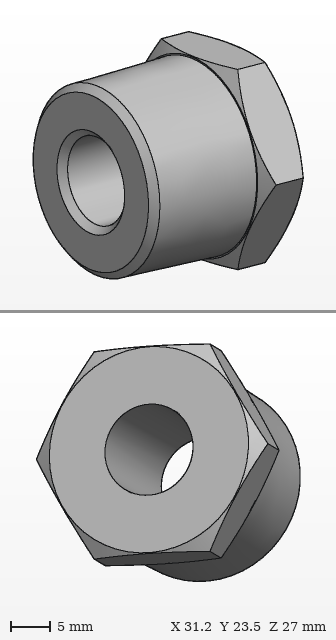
import cadquery as cq
import math

across_corners = 31.18
head_length = 6.98
head_face_diameter = 26.8
corner_chamfer_angle = 30.0

total_length = 23.5
shank_root_diameter = 26.4
shank_tip_diameter = 25.6
tip_chamfer = 1.03

bore_diameter = 11.85
bore_mouth_diameter = 13.78

head_front = total_length - head_length
corner_radius = across_corners / 2
face_radius = head_face_diameter / 2
corner_drop = (corner_radius - face_radius) * math.tan(math.radians(corner_chamfer_angle))


def revolve_about_y(points):
    """Solid of revolution about Y from (radius, y) points."""
    return cq.Workplane("XY").polyline(points).close().revolve(360, (0, 0, 0), (0, 1, 0))


def make_head():
    """Hexagonal prism with corners on +X and -X, chamfered conically at both ends."""
    hexagon = (
        cq.Workplane("XZ", origin=(0, total_length, 0))
        .polygon(6, across_corners)
        .extrude(head_length)
    )
    corner_envelope = revolve_about_y([
        (0, head_front),
        (face_radius, head_front),
        (corner_radius, head_front + corner_drop),
        (corner_radius, total_length - corner_drop),
        (face_radius, total_length),
        (0, total_length),
    ])
    return hexagon.intersect(corner_envelope)


def make_shank():
    """Tapered shank with a chamfered tip."""
    root_radius = shank_root_diameter / 2
    tip_radius = shank_tip_diameter / 2
    return revolve_about_y([
        (0, 0),
        (tip_radius - tip_chamfer, 0),
        (tip_radius, tip_chamfer),
        (root_radius, head_front),
        (0, head_front),
    ])


def make_bore():
    """Through bore with a 45 degree countersink at the shank tip."""
    bore_radius = bore_diameter / 2
    mouth_radius = bore_mouth_diameter / 2
    mouth_depth = mouth_radius - bore_radius
    return revolve_about_y([
        (0, 0),
        (mouth_radius, 0),
        (bore_radius, mouth_depth),
        (bore_radius, total_length),
        (0, total_length),
    ])


result = make_head().union(make_shank()).cut(make_bore())